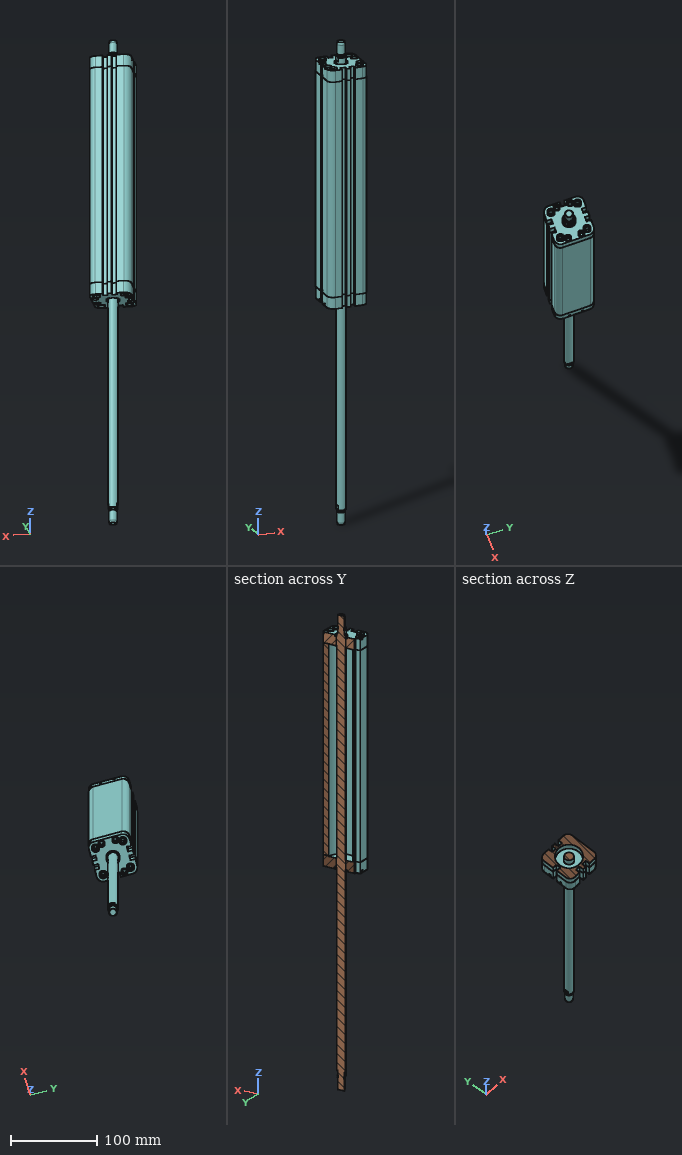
import cadquery as cq

TOTAL_LENGTH = 595.0
ROD_TOP_REACH = 25.5
HOUSING_LENGTH = 294.0
CAP_LENGTH = 14.0
HOUSING_TOP = TOTAL_LENGTH / 2 - ROD_TOP_REACH
HOUSING_MIDDLE = HOUSING_TOP - HOUSING_LENGTH / 2
BARREL_LENGTH = HOUSING_LENGTH - 2 * CAP_LENGTH
BARREL_BOTTOM = HOUSING_MIDDLE - BARREL_LENGTH / 2

WIDTH = 49.0
SIDE = WIDTH / 2
BARREL_CORNER_RADIUS = 7.0
CAP_CORNER_RADIUS = 8.0
SLOT_WIDTH = 5.65
SLOT_DEPTH = 5.65
SLOT_PITCH = 11.0
SIDE_SLOT_WIDTH = 5.5
BORE_DIAMETER = 32.0

MOUNT_PITCH = 33.0
MOUNT_HOLE_DIAMETER = 5.2
MOUNT_HOLE_DEPTH = 12.0
MOUNT_SEAT_DIAMETER = 9.0
MOUNT_SEAT_DEPTH = 2.5
SCREW_PITCH_X = 39.0
SCREW_PITCH_Y = 16.5
SCREW_HOLE_DIAMETER = 4.95
SCREW_HOLE_DEPTH = 8.5
SCREW_SEAT_DIAMETER = 8.0
SCREW_SEAT_DEPTH = 2.5
ROD_HOLE_DIAMETER = 12.5
ROD_RECESS_DIAMETER = 16.0
ROD_RECESS_DEPTH = 2.0

ROD_DIAMETER = 12.0
THREAD_DIAMETER = 10.0
THREAD_LENGTH = 18.0
THREAD_TIP_DIAMETER = 8.5
TIP_CHAMFER_LENGTH = 3.0
RELIEF_DIAMETER = 8.5
RELIEF_LENGTH = 2.5
SHOULDER_CHAMFER = (ROD_DIAMETER - THREAD_DIAMETER) / 2
SHANK_LENGTH = TOTAL_LENGTH - 2 * THREAD_LENGTH
FLAT_LENGTH = 6.0
FLAT_CUT_DEPTH = 1.0


def slotted_bar(bottom, length, corner_radius):
    """Rounded square bar with two slots on each Y side and one on the -X side."""
    plane = cq.Workplane("XY", origin=(0, 0, bottom))
    bar = plane.rect(WIDTH, WIDTH).extrude(length).edges("|Z").fillet(corner_radius)
    paired_slots = (
        plane.rect(SLOT_PITCH, WIDTH, forConstruction=True)
        .vertices()
        .rect(SLOT_WIDTH, 2 * SLOT_DEPTH)
        .extrude(length)
    )
    side_slot = plane.center(-SIDE, 0).rect(2 * SLOT_DEPTH, SIDE_SLOT_WIDTH).extrude(length)
    return bar.cut(paired_slots).cut(side_slot)


def seated_holes(face, pitch_x, pitch_y, hole_diameter, hole_depth, seat_diameter, seat_depth):
    """Cutter for four counterbored blind holes going down from a face."""
    centers = face.rect(pitch_x, pitch_y, forConstruction=True).vertices()
    holes = centers.circle(hole_diameter / 2).extrude(-hole_depth)
    seats = centers.circle(seat_diameter / 2).extrude(-seat_depth)
    return holes.union(seats)


def make_top_cap():
    """End cap with a recessed rod hole, corner mounting holes and screw holes beside them."""
    face = cq.Workplane("XY", origin=(0, 0, HOUSING_TOP))
    rod_hole = face.circle(ROD_HOLE_DIAMETER / 2).extrude(-CAP_LENGTH)
    rod_recess = face.circle(ROD_RECESS_DIAMETER / 2).extrude(-ROD_RECESS_DEPTH)
    mount_holes = seated_holes(
        face, MOUNT_PITCH, MOUNT_PITCH,
        MOUNT_HOLE_DIAMETER, MOUNT_HOLE_DEPTH, MOUNT_SEAT_DIAMETER, MOUNT_SEAT_DEPTH,
    )
    screw_holes = seated_holes(
        face, SCREW_PITCH_X, SCREW_PITCH_Y,
        SCREW_HOLE_DIAMETER, SCREW_HOLE_DEPTH, SCREW_SEAT_DIAMETER, SCREW_SEAT_DEPTH,
    )
    cap = slotted_bar(HOUSING_TOP - CAP_LENGTH, CAP_LENGTH, CAP_CORNER_RADIUS)
    return cap.cut(rod_hole).cut(rod_recess).cut(mount_holes).cut(screw_holes)


def make_bottom_cap():
    """Mirror image of the top cap at the other end of the barrel."""
    return make_top_cap().mirror("XY", (0, 0, HOUSING_MIDDLE))


def make_barrel():
    """Slotted tube between the caps."""
    bar = slotted_bar(BARREL_BOTTOM, BARREL_LENGTH, BARREL_CORNER_RADIUS)
    plane = cq.Workplane("XY", origin=(0, 0, BARREL_BOTTOM))
    return bar.cut(plane.circle(BORE_DIAMETER / 2).extrude(BARREL_LENGTH))


def centered_cylinder(diameter, length):
    """Cylinder on the Z axis, centred on the origin."""
    return cq.Workplane("XY").circle(diameter / 2).extrude(length / 2, both=True)


def make_rod():
    """Through rod with a relieved thread and two wrench flats at each end."""
    tip_chamfer = (THREAD_DIAMETER - THREAD_TIP_DIAMETER) / 2
    threads = centered_cylinder(THREAD_DIAMETER, TOTAL_LENGTH)
    threads = threads.faces("<Z or >Z").chamfer(TIP_CHAMFER_LENGTH, tip_chamfer)
    reliefs = centered_cylinder(THREAD_DIAMETER, SHANK_LENGTH + 2 * RELIEF_LENGTH).cut(
        centered_cylinder(RELIEF_DIAMETER, TOTAL_LENGTH)
    )
    shank = centered_cylinder(ROD_DIAMETER, SHANK_LENGTH)
    shank = shank.faces("<Z or >Z").chamfer(SHOULDER_CHAMFER)
    flat_x = ROD_DIAMETER / 2
    flat_z = (SHANK_LENGTH - FLAT_LENGTH) / 2
    flats = (
        cq.Workplane("XY")
        .pushPoints([(-flat_x, 0), (flat_x, 0)])
        .box(2 * FLAT_CUT_DEPTH, ROD_DIAMETER, FLAT_LENGTH, combine=False)
    )
    rod = threads.cut(reliefs).union(shank)
    for z in (-flat_z, flat_z):
        rod = rod.cut(flats.translate((0, 0, z)))
    return rod


top_cap = make_top_cap()
barrel = make_barrel()
bottom_cap = make_bottom_cap()
rod = make_rod()

result = cq.Compound.makeCompound([top_cap.val(), barrel.val(), bottom_cap.val(), rod.val()])